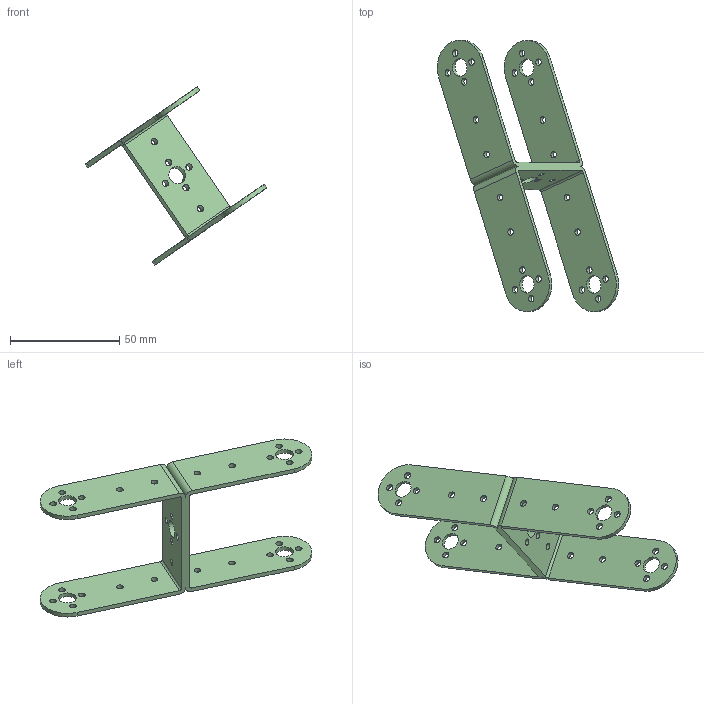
import cadquery as cq

sheet = 2.0
inner_bend_radius = 1.0
outer_bend_radius = inner_bend_radius + sheet
bracket_height = 56.0
arm_width = 25.0
end_radius = arm_width / 2
arm_reach = 53.0

hub_hole_diameter = 8.0
screw_hole_diameter = 3.0
screw_ring_radius = 7.0
arm_hole_distances = (10.5, 27.4)
web_hole_offset = 18.6

turn_about_z = 20.58
tilt_about_y = -34.54


def ring_points(centre_y):
    """Centres of the four screw holes around a hub hole."""
    return [
        (screw_ring_radius, centre_y),
        (-screw_ring_radius, centre_y),
        (0, centre_y + screw_ring_radius),
        (0, centre_y - screw_ring_radius),
    ]


def round_edged_block(height, web_face_y, bend_radius):
    """Block starting at web_face_y whose two web-side edges follow the bend."""
    length = arm_reach + end_radius - web_face_y
    return (
        cq.Workplane("XY")
        .box(arm_width, length, height, centered=(True, False, True))
        .edges("|X and <Y")
        .fillet(bend_radius)
        .translate((0, web_face_y, 0))
    )


def bent_strip():
    """U-shaped strip: back of the web on the XZ plane, arms along +Y with rounded ends."""
    outside = round_edged_block(bracket_height, 0, outer_bend_radius)
    inside = round_edged_block(bracket_height - 2 * sheet, sheet, inner_bend_radius)
    arm_outline = (
        cq.Workplane("XY")
        .workplane(offset=-bracket_height / 2)
        .moveTo(-end_radius, 0)
        .lineTo(end_radius, 0)
        .lineTo(end_radius, arm_reach)
        .threePointArc((0, arm_reach + end_radius), (-end_radius, arm_reach))
        .close()
        .extrude(bracket_height)
    )
    return outside.cut(inside).intersect(arm_outline)


def hole_cutters(plane, hub_y, extra_points, depth):
    """Cutters for a hub hole, its ring of screw holes and further screw holes."""
    screw_points = ring_points(hub_y) + extra_points
    screws = plane.pushPoints(screw_points).circle(screw_hole_diameter / 2).extrude(depth)
    hub = plane.pushPoints([(0, hub_y)]).circle(hub_hole_diameter / 2).extrude(depth)
    return screws.union(hub)


def arm_holes():
    """Cutters that run through both arms of one bracket."""
    plane = cq.Workplane("XY").workplane(offset=-bracket_height / 2)
    extra_points = [(0, distance) for distance in arm_hole_distances]
    return hole_cutters(plane, arm_reach, extra_points, bracket_height)


def web_holes():
    """Cutters that run through the doubled web."""
    plane = cq.Workplane("XZ").workplane(offset=-sheet)
    extra_points = [(0, web_hole_offset), (0, -web_hole_offset)]
    return hole_cutters(plane, 0, extra_points, 2 * sheet)


bracket = bent_strip().cut(arm_holes())
double_bracket = bracket.union(bracket.mirror("XZ")).cut(web_holes())

origin = (0, 0, 0)
turned = double_bracket.rotate(origin, (0, 0, 1), turn_about_z)
result = turned.rotate(origin, (0, 1, 0), tilt_about_y)